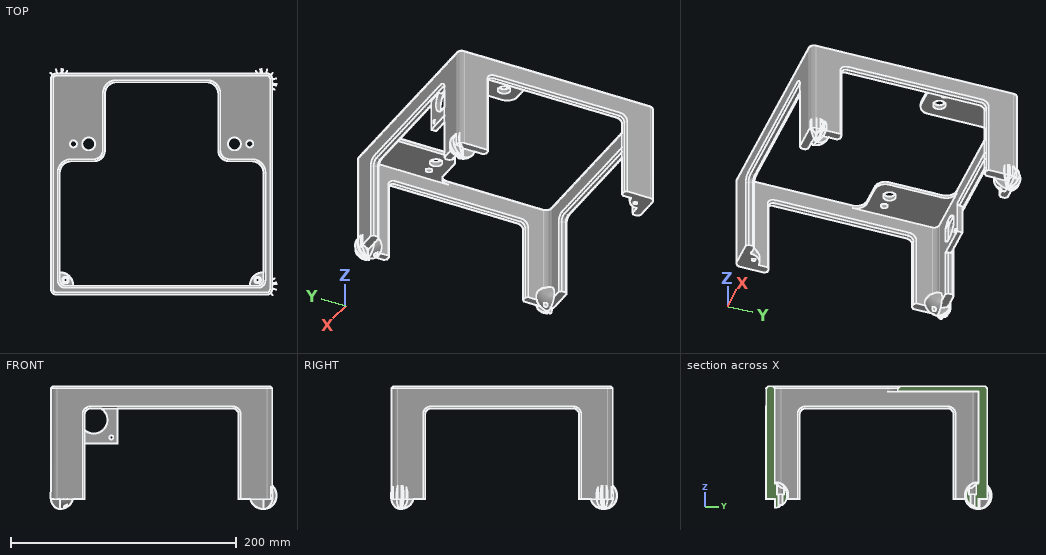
import cadquery as cq

SIDE = 196.0
HEIGHT = 100.0
WALL = 8.0
PLATE = 5.0
EDGE_CHAMFER = 2.0
OUTER_RADIUS = 5.0
INNER_RADIUS = 5.0
HALF = SIDE / 2
INNER_HALF = HALF - WALL

LEG_WIDTH = 30.0
ARCH_DEPTH = 20.0
ARCH_RADIUS = 5.0
FLARE_ANGLE = 45.0
ARCH_HALF = HALF - LEG_WIDTH
ARCH_TOP = HEIGHT - ARCH_DEPTH

TONGUE_X = 48.0
TONGUE_Y = 78.0
TONGUE_RADIUS = 10.0
THROAT_HALF = HALF - TONGUE_X
TONGUE_FRONT = HALF - TONGUE_Y

TONGUE_HOLES = [(20.0, 6.0), (33.5, 11.2)]
HOLE_ROW_Y = HALF - 62.5

MOTOR_SIZE = 42.0
MOTOR_PLATE = 5.0
MOTOR_BORE = 24.0
MOTOR_SCREW_PITCH = 31.0
MOTOR_SCREW_DIAMETER = 3.4
MOTOR_X = 38.0 - HALF
MOTOR_Z = HEIGHT - 30.0

BALL_RADIUS = 12.0
BALL_Z = 3.0
BALL_BOTTOM = BALL_Z - BALL_RADIUS
FOOT_SCREW_OFFSET = 5.0
FOOT_SCREW_DIAMETER = 3.4
FOOT_HEAD_DIAMETER = 6.0
FOOT_HEAD_FLOOR = 4.0

FIN_THICKNESS = 0.15
FIN_ANGLES = [28.0, 52.0, 59.0, 78.0]
OUTWARD = 225.0

Z_AXIS = ((0, 0, 0), (0, 0, 1))


def upright_block(width, depth, base, height):
    return cq.Workplane("XY").workplane(offset=base).rect(width, depth).extrude(height)


def upright_cylinder(x, y, base, diameter, height):
    return cq.Workplane("XY").workplane(offset=base).center(x, y).circle(diameter / 2).extrude(height)


def frame():
    """Square box, open below, with rounded corners and a chamfered top rim."""
    outer = upright_block(SIDE, SIDE, 0, HEIGHT).edges("|Z").fillet(OUTER_RADIUS)
    outer = outer.faces(">Z").edges().chamfer(EDGE_CHAMFER)
    inner = upright_block(2 * INNER_HALF, 2 * INNER_HALF, 0, HEIGHT - PLATE)
    return outer.cut(inner.edges("|Z").fillet(INNER_RADIUS))


def cut_top_opening(body):
    """T-shaped opening between the two tongues, with a chamfered upper edge."""
    outline = [
        (-INNER_HALF, -INNER_HALF),
        (INNER_HALF, -INNER_HALF),
        (INNER_HALF, TONGUE_FRONT),
        (THROAT_HALF, TONGUE_FRONT),
        (THROAT_HALF, INNER_HALF),
        (-THROAT_HALF, INNER_HALF),
        (-THROAT_HALF, TONGUE_FRONT),
        (-INNER_HALF, TONGUE_FRONT),
    ]
    base = HEIGHT - PLATE
    cutter = cq.Workplane("XY").workplane(offset=base).polyline(outline).close().extrude(PLATE)
    cutter = cutter.edges("|Z and <Y").fillet(INNER_RADIUS)
    around_tongues = cq.selectors.BoxSelector((-HALF, 0, 0), (HALF, HALF, 2 * HEIGHT))
    cutter = cutter.edges("|Z").edges(around_tongues).fillet(TONGUE_RADIUS)
    opened = body.cut(cutter)
    rim = opened.faces(">Z").val().innerWires()[0]
    return opened.newObject(rim.Edges()).chamfer(EDGE_CHAMFER)


def arch_cutter():
    """Opening through the front wall, flared at the inner and outer faces."""
    outline = cq.Sketch().rect(2 * ARCH_HALF, 2 * ARCH_TOP).vertices().fillet(ARCH_RADIUS)

    def slab(start, depth, taper=0.0):
        plane = cq.Workplane("XZ").workplane(offset=start)
        return plane.placeSketch(outline).extrude(depth, taper=taper)

    through = slab(INNER_HALF, WALL)
    outward = slab(HALF - EDGE_CHAMFER, EDGE_CHAMFER, -FLARE_ANGLE)
    inward = slab(INNER_HALF + EDGE_CHAMFER, -EDGE_CHAMFER, -FLARE_ANGLE)
    return through.union(outward).union(inward)


def cut_arches(body):
    for turn in range(4):
        body = body.cut(arch_cutter().rotate(*Z_AXIS, 90 * turn))
    return body


def cut_tongue_holes(body):
    for side in (-1, 1):
        for inset, diameter in TONGUE_HOLES:
            x = side * (HALF - inset)
            body = body.cut(upright_cylinder(x, HOLE_ROW_Y, HEIGHT - PLATE, diameter, PLATE))
    return body


def motor_plate():
    """Square plate with a central bore and four screw holes, flush with the back wall's inner face."""
    plane = cq.Workplane("XZ", origin=(MOTOR_X, INNER_HALF + MOTOR_PLATE, MOTOR_Z))
    plate = plane.rect(MOTOR_SIZE, MOTOR_SIZE).extrude(MOTOR_PLATE)
    bore = plane.circle(MOTOR_BORE / 2).extrude(MOTOR_PLATE)
    screws = plane.rect(MOTOR_SCREW_PITCH, MOTOR_SCREW_PITCH, forConstruction=True).vertices()
    return plate.cut(bore).cut(screws.circle(MOTOR_SCREW_DIAMETER / 2).extrude(MOTOR_PLATE))


def foot(base, fin_angles):
    """Quarter ball in the inner corner of the front-left leg, with fins out through the walls."""
    size = 2 * BALL_RADIUS
    room = cq.Workplane("XY").workplane(offset=base).rect(size, size, centered=False).extrude(size)
    for angle in fin_angles:
        fin = upright_block(size, FIN_THICKNESS, base, size).translate((BALL_RADIUS, 0, 0))
        room = room.union(fin.rotate(*Z_AXIS, OUTWARD + angle))
    ball = cq.Workplane("XY").sphere(BALL_RADIUS).translate((0, 0, BALL_Z)).intersect(room)
    offset = FOOT_SCREW_OFFSET
    ball = ball.cut(upright_cylinder(offset, offset, base, FOOT_SCREW_DIAMETER, size))
    ball = ball.cut(upright_cylinder(offset, offset, FOOT_HEAD_FLOOR, FOOT_HEAD_DIAMETER, size))
    return ball.translate((-INNER_HALF, -INNER_HALF, 0))


def add_feet(body):
    """Flush foot in the front-left leg; the other three reach below the legs and carry fins."""
    right_fins = FIN_ANGLES
    left_fins = [-angle for angle in FIN_ANGLES]
    feet = [
        foot(0, []),
        foot(BALL_BOTTOM, [0] + right_fins),
        foot(BALL_BOTTOM, [0] + right_fins + left_fins),
        foot(BALL_BOTTOM, [0] + left_fins),
    ]
    for turn, corner_foot in enumerate(feet):
        body = body.union(corner_foot.rotate(*Z_AXIS, 90 * turn))
    return body


result = cut_top_opening(frame())
result = cut_arches(result)
result = cut_tongue_holes(result)
result = result.union(motor_plate())
result = add_feet(result)